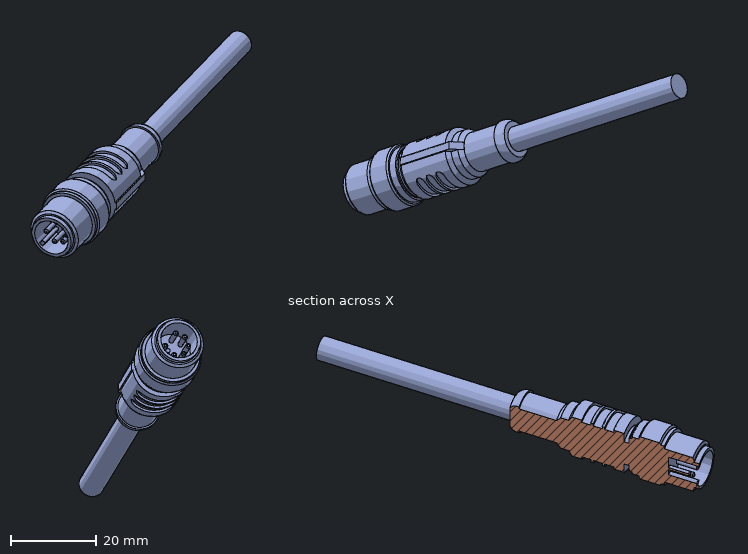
import cadquery as cq
import math

length = 98.9

nose_radius = 5.1
nose_length = 1.3
sleeve_radius = 12.5 / 2
sleeve_end = 9.0
sleeve_chamfer_depth = 0.7
sleeve_chamfer_length = 0.4

lip_radius = 7.0
lip_end = 9.9
ring_radius = 15.0 / 2
ring_end = 15.6
ring_chamfer = 0.4
hub_radius = 6.7
hub_end = 17.5
hub_rim_radius = 6.2
hub_rim_end = 18.2
hub_rim_chamfer = 0.3

neck_radius = 9.6 / 2
grip_start = 19.4
grip_radius = 7.0
grip_end = 32.9
shoulder_start = 33.7
shoulder_radius = 5.8
shoulder_end = 35.8
shoulder_bevel = shoulder_radius - neck_radius

collar_radius = 5.2
collar_start = 46.5
collar_end = 46.9
dome_mid = (5.0, 48.0)
outlet_radius = 4.4
outlet_end = 48.9
cable_radius = 6.0 / 2

rib_width = 1.9
rib_reach = 7.3
rib_end = 34.4

slot_count = 3
slot_pitch = 3.0
slot_first = 23.2
slot_width = 2.3
slot_length = 10.5
slot_floor_radius = 6.4

socket_radius = 4.4
socket_depth = 7.9
pin_radius = 0.6
pin_circle_radius = 2.8
pin_tip = 2.5
pin_chamfer = 0.3
pin_pitch_angle = 49.0
root_overlap = 1.0
key_angle = -135.0
pin_steps = (-3, -2, -1, 0, 1, 3)
key_radius = 0.5
key_tip = 0.7
key_round_center = 3.6


def turned_body():
    """Solid of revolution holding every round step from nose to cable end."""
    outline = [
        (0, 0),
        (nose_radius, 0),
        (nose_radius, nose_length),
        (sleeve_radius - sleeve_chamfer_depth, nose_length),
        (sleeve_radius, nose_length + sleeve_chamfer_length),
        (sleeve_radius, sleeve_end),
        (lip_radius, sleeve_end),
        (lip_radius, lip_end),
        (ring_radius - ring_chamfer, lip_end),
        (ring_radius, lip_end + ring_chamfer),
        (ring_radius, ring_end - ring_chamfer),
        (ring_radius - ring_chamfer, ring_end),
        (hub_radius, ring_end),
        (hub_radius, hub_end),
        (hub_rim_radius, hub_end),
        (hub_rim_radius, hub_rim_end - hub_rim_chamfer),
        (hub_rim_radius - hub_rim_chamfer, hub_rim_end),
        (neck_radius, hub_rim_end),
        (neck_radius, grip_start),
        (grip_radius, grip_start),
        (grip_radius, grip_end),
        (shoulder_radius, shoulder_start),
        (shoulder_radius, shoulder_end),
        (neck_radius, shoulder_end + shoulder_bevel),
        (neck_radius, collar_start),
        (collar_radius, collar_start),
        (collar_radius, collar_end),
    ]
    return (
        cq.Workplane("XY")
        .polyline(outline)
        .threePointArc(dome_mid, (outlet_radius, outlet_end))
        .lineTo(cable_radius, outlet_end)
        .lineTo(cable_radius, length)
        .lineTo(0, length)
        .close()
        .revolve(360, (0, 0, 0), (0, 1, 0))
    )


def side_ribs():
    """Flat bar across the grip whose two ends stand out as ribs along the sides."""
    slope_end = rib_end + rib_reach - neck_radius
    return (
        cq.Workplane("XY")
        .moveTo(-rib_reach, grip_start)
        .lineTo(rib_reach, grip_start)
        .lineTo(rib_reach, rib_end)
        .lineTo(neck_radius, slope_end)
        .lineTo(-neck_radius, slope_end)
        .lineTo(-rib_reach, rib_end)
        .close()
        .extrude(rib_width / 2, both=True)
    )


def cylinder_along_y(radius, start, end, x=0.0, z=0.0):
    """Cylinder parallel to the connector axis between two Y positions."""
    return cq.Workplane("XZ", origin=(x, start, z)).circle(radius).extrude(start - end)


def finger_slots():
    """Rounded slots cut from above and below, leaving a cylindrical floor."""
    places = [(0, slot_first + i * slot_pitch) for i in range(slot_count)]
    slots = (
        cq.Workplane("XY")
        .pushPoints(places)
        .slot2D(slot_length, slot_width)
        .extrude(grip_radius, both=True)
    )
    return slots.cut(cylinder_along_y(slot_floor_radius, grip_start, grip_end))


def contact_pin(angle):
    """Round pin standing in the socket floor, bevelled at its tip."""
    x = pin_circle_radius * math.cos(math.radians(angle))
    z = pin_circle_radius * math.sin(math.radians(angle))
    pin = cylinder_along_y(pin_radius, pin_tip, socket_depth + root_overlap, x, z)
    return pin.faces("<Y").chamfer(pin_chamfer)


def coding_key():
    """Rib with a rounded crest along the socket wall, running down to the socket floor."""
    key_end = socket_depth + root_overlap
    crest = cylinder_along_y(key_radius, key_tip, key_end, x=key_round_center)
    wall_reach = (socket_radius + nose_radius) / 2
    root_length = wall_reach - key_round_center
    root = cq.Workplane("XY").box(
        root_length, key_end - key_tip, 2 * key_radius, centered=(False, False, True)
    )
    root = root.translate((key_round_center, key_tip, 0))
    return crest.union(root).rotate((0, 0, 0), (0, 1, 0), -key_angle)


result = turned_body().union(side_ribs()).cut(finger_slots())
result = result.cut(cylinder_along_y(socket_radius, 0, socket_depth))
for step in pin_steps:
    result = result.union(contact_pin(key_angle + 180 + step * pin_pitch_angle))
result = result.union(coding_key())